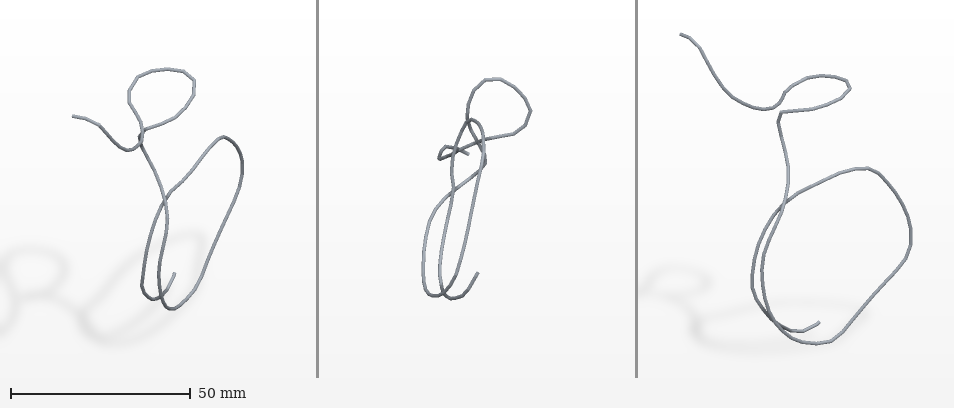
import cadquery as cq

WIRE_DIAMETER = 1.0

upper_tail = [
    (-6.0, -32.2, 48.0),
    (-2.1, -31.2, 48.4),
    (1.5, -29.8, 46.6),
    (3.0, -28.4, 42.8),
    (4.0, -26.6, 38.8),
    (4.9, -24.3, 34.8),
    (5.3, -21.6, 31.4),
    (5.0, -18.2, 28.65),
    (4.0, -14.7, 26.2),
    (2.9, -10.9, 24.3),
    (0.6, -6.8, 23.0),
]

small_loop = [
    (-2.3, -3.5, 22.5),
    (-5.8, -1.0, 22.0),
    (-9.5, 1.5, 21.6),
    (-11.8, 5.0, 22.1),
    (-12.1, 9.6, 23.4),
    (-9.6, 12.7, 24.5),
    (-6.0, 15.3, 25.2),
    (-1.6, 16.7, 25.6),
    (2.6, 15.8, 25.2),
    (5.0, 12.0, 24.1),
    (5.3, 7.5, 23.1),
    (4.5, 3.3, 22.2),
    (2.4, -0.2, 21.6),
    (-0.8, -3.6, 20.4),
]

neck = [
    (-2.5, -3.8, 16.6),
    (-2.5, -2.8, 12.0),
    (-0.8, -2.4, 8.0),
    (1.8, -2.7, 4.5),
    (5.1, -4.3, 1.1),
    (8.0, -6.5, -1.7),
    (10.2, -8.7, -4.6),
]

first_descent = [
    (11.3, -11.05, -7.7),
    (11.7, -13.3, -11.6),
    (11.8, -15.0, -15.7),
    (11.8, -15.5, -20.3),
    (11.9, -15.4, -24.9),
    (11.9, -14.7, -29.3),
    (11.8, -13.3, -33.7),
    (11.4, -11.2, -37.7),
    (11.0, -8.7, -41.1),
    (10.4, -5.7, -44.1),
    (9.7, -2.2, -46.3),
    (9.1, 2.5, -48.0),
    (8.7, 7.1, -48.4),
]

rear_rise = [
    (8.5, 10.9, -46.3),
    (8.2, 14.2, -43.2),
    (8.1, 17.3, -40.2),
    (8.1, 20.5, -37.1),
    (8.1, 24.0, -34.0),
    (8.1, 27.4, -31.1),
    (7.9, 30.5, -28.0),
    (7.7, 32.2, -24.1),
    (7.8, 32.2, -19.5),
    (7.7, 31.3, -15.3),
    (7.8, 29.5, -11.0),
    (7.9, 27.4, -7.0),
    (8.1, 24.8, -3.3),
    (8.4, 22.0, 0.3),
    (8.9, 18.6, 2.7),
    (9.1, 14.4, 3.5),
    (9.3, 9.6, 3.3),
    (9.2, 5.4, 2.2),
]

second_descent = [
    (8.4, 1.3, 0.5),
    (6.8, -2.2, -1.6),
    (6.5, -6.2, -4.1),
    (6.6, -9.4, -6.9),
    (6.7, -12.1, -10.7),
    (6.9, -14.3, -14.8),
    (7.0, -15.5, -19.1),
    (6.9, -16.1, -23.4),
    (6.5, -16.0, -27.9),
    (6.4, -14.7, -32.0),
    (6.1, -12.3, -35.9),
    (5.6, -9.7, -39.5),
    (5.0, -6.6, -42.4),
    (4.1, -3.0, -45.1),
    (3.4, 1.1, -46.3),
    (2.5, 5.7, -45.6),
    (2.25, 6.65, -45.1),
]


def bent_wire(corners, diameter):
    """Round wire following straight links between the corners, mitred at each one."""
    start = cq.Vector(*corners[0])
    first_link = cq.Vector(*corners[1]) - start
    path = cq.Workplane("XY").polyline(corners)
    section = cq.Workplane(cq.Plane(start, normal=first_link)).circle(diameter / 2)
    return section.sweep(path, transition="right")


centreline = upper_tail + small_loop + neck + first_descent + rear_rise + second_descent
result = bent_wire(centreline, WIRE_DIAMETER)